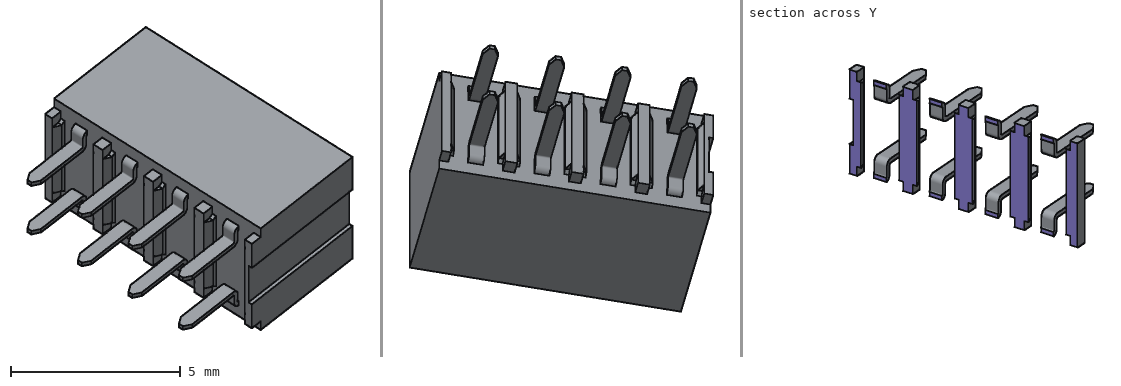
import cadquery as cq
import math

HOUSING_WIDTH = 8.19
HOUSING_DEPTH = 4.05
HOUSING_HEIGHT = 4.19

CONTACTS_PER_ROW = 4
PITCH = 2.0
LEAD_Z = 1.0
ROOT_TOP_Z = 1.63

STRIP_THICKNESS = 0.15
STRIP_WIDTH = 0.46
INNER_BEND = 0.05
OUTER_BEND = INNER_BEND + STRIP_THICKNESS
LEAD_REACH = 2.3
TIP_WIDTH = 0.16
TIP_LENGTH = 0.25
EMBED = 0.5

RIB_HEIGHT = 0.39
RIB_LENGTH = 3.48
RIB_WIDTH = 0.36
FLANK_WIDTH = 0.65
FLANK_LENGTH = 2.9
FLANK_END_BEVEL = 0.09
FLANK_STRAIGHT = 0.13

NOTCH_HEIGHT = 1.5
NOTCH_DEPTH = 0.13

THROUGH_DEPTH = 2 * (HOUSING_DEPTH + RIB_HEIGHT)


def make_housing():
    """Solid block behind the Y = 0 face."""
    return cq.Workplane("XY").box(
        HOUSING_WIDTH, HOUSING_DEPTH, HOUSING_HEIGHT, centered=(True, False, True)
    )


def make_rib(x):
    """Standoff rib with a tapered flank on each side, centred on x."""
    core = cq.Workplane("XY").box(RIB_WIDTH, RIB_HEIGHT + EMBED, RIB_LENGTH)
    core = core.translate((0, (EMBED - RIB_HEIGHT) / 2, 0))

    half_rib = RIB_WIDTH / 2
    half_flank = FLANK_WIDTH / 2
    section = (
        cq.Workplane("XY")
        .polyline([
            (-half_flank, EMBED),
            (-half_flank, -FLANK_STRAIGHT),
            (-half_rib, -RIB_HEIGHT),
            (half_rib, -RIB_HEIGHT),
            (half_flank, -FLANK_STRAIGHT),
            (half_flank, EMBED),
        ])
        .close()
        .extrude(FLANK_LENGTH / 2, both=True)
    )

    half_base = FLANK_LENGTH / 2
    half_top = half_base - FLANK_END_BEVEL
    side = (
        cq.Workplane("YZ")
        .polyline([
            (EMBED, -half_base),
            (0, -half_base),
            (-FLANK_STRAIGHT, -half_top),
            (-RIB_HEIGHT, -half_top),
            (-RIB_HEIGHT, half_top),
            (-FLANK_STRAIGHT, half_top),
            (0, half_base),
            (EMBED, half_base),
        ])
        .close()
        .extrude(half_flank, both=True)
    )
    return core.union(section.intersect(side)).translate((x, 0, 0))


def make_upper_contact(x):
    """Strip leaving the housing, bent down, then bent forward into a tapered lead."""
    lead_top = LEAD_Z + STRIP_THICKNESS / 2
    lead_bottom = LEAD_Z - STRIP_THICKNESS / 2
    root_bottom = ROOT_TOP_Z - STRIP_THICKNESS
    drop_front = -OUTER_BEND
    drop_back = -INNER_BEND
    lead_start = drop_front - INNER_BEND
    upper_bend_z = ROOT_TOP_Z - OUTER_BEND
    lower_bend_z = lead_top + INNER_BEND

    diagonal = math.sqrt(0.5)
    outer_offset = OUTER_BEND * diagonal
    inner_offset = INNER_BEND * diagonal

    strip = (
        cq.Workplane("YZ")
        .moveTo(EMBED, ROOT_TOP_Z)
        .lineTo(0, ROOT_TOP_Z)
        .threePointArc((-outer_offset, upper_bend_z + outer_offset), (drop_front, upper_bend_z))
        .lineTo(drop_front, lower_bend_z)
        .threePointArc((lead_start + inner_offset, lower_bend_z - inner_offset), (lead_start, lead_top))
        .lineTo(-LEAD_REACH, lead_top)
        .lineTo(-LEAD_REACH, lead_bottom)
        .lineTo(lead_start, lead_bottom)
        .threePointArc((lead_start + outer_offset, lower_bend_z - outer_offset), (drop_back, lower_bend_z))
        .lineTo(drop_back, upper_bend_z)
        .threePointArc((-inner_offset, upper_bend_z + inner_offset), (0, root_bottom))
        .lineTo(EMBED, root_bottom)
        .close()
        .extrude(STRIP_WIDTH / 2, both=True)
    )

    half_width = STRIP_WIDTH / 2
    half_tip = TIP_WIDTH / 2
    taper_start = TIP_LENGTH - LEAD_REACH
    plan = (
        cq.Workplane("XY")
        .polyline([
            (-half_width, EMBED),
            (-half_width, taper_start),
            (-half_tip, -LEAD_REACH),
            (half_tip, -LEAD_REACH),
            (half_width, taper_start),
            (half_width, EMBED),
        ])
        .close()
        .extrude(HOUSING_HEIGHT / 2)
    )
    return strip.intersect(plan).translate((x, 0, 0))


def make_notch():
    """Cutter for the notch, centred on the +X side face."""
    cutter = cq.Workplane("XY").box(2 * NOTCH_DEPTH, THROUGH_DEPTH, NOTCH_HEIGHT)
    return cutter.translate((HOUSING_WIDTH / 2, 0, 0))


def row_positions(count):
    """X positions of evenly pitched items, centred on X = 0."""
    return [(index - (count - 1) / 2) * PITCH for index in range(count)]


part = make_housing()

for rib_x in row_positions(CONTACTS_PER_ROW + 1):
    part = part.union(make_rib(rib_x))

trim_block = cq.Workplane("XY").box(HOUSING_WIDTH, THROUGH_DEPTH, HOUSING_HEIGHT)
part = part.intersect(trim_block).cut(make_notch())

for contact_x in row_positions(CONTACTS_PER_ROW):
    upper_contact = make_upper_contact(contact_x)
    part = part.union(upper_contact).union(upper_contact.mirror("XY"))

result = part